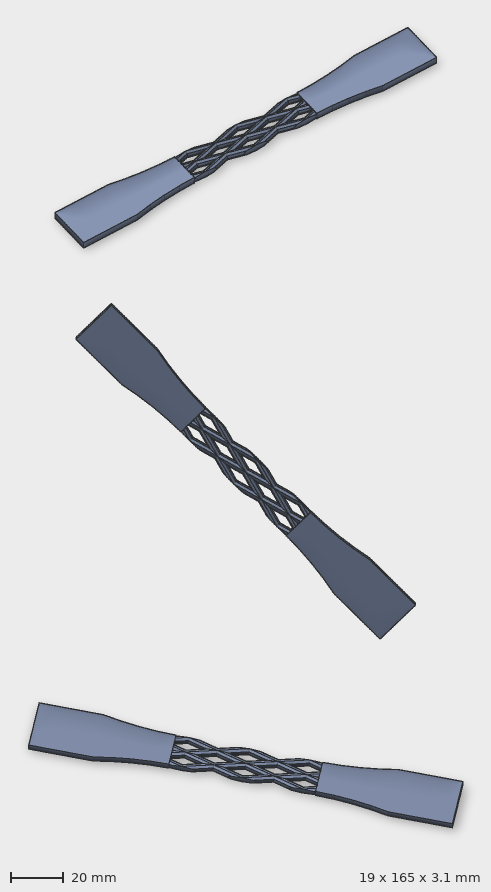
import cadquery as cq
import math

length = 165.0
grip_width = 19.0
thickness = 3.1

gauge_width = 13.0
gauge_length = 57.1
grip_start = 57.5
shoulder_facets = 4

cells_across = 2
node_pitch_x = gauge_width / cells_across
node_pitch_y = 23.6
strut_radius = thickness / 2
strut_sides = 8

gauge_end = gauge_length / 2
shoulder_run = grip_start - gauge_end
shoulder_rise = (grip_width - gauge_width) / 2
shoulder_radius = (shoulder_run**2 + shoulder_rise**2) / (2 * shoulder_rise)


def shoulder_points():
    """Corners of one shoulder, along an arc tangent to the gauge edge."""
    sweep = math.asin(shoulder_run / shoulder_radius)
    points = []
    for i in range(shoulder_facets + 1):
        angle = sweep * i / shoulder_facets
        x = gauge_width / 2 + shoulder_radius * (1 - math.cos(angle))
        y = gauge_end + shoulder_radius * math.sin(angle)
        points.append((x, y))
    return points


def grip():
    """Solid end at +Y: full-width grip narrowing to the gauge width."""
    right_side = shoulder_points() + [(grip_width / 2, length / 2)]
    left_side = [(-x, y) for x, y in reversed(right_side)]
    outline = cq.Workplane("XY").polyline(right_side + left_side).close()
    return outline.extrude(thickness / 2, both=True)


def strut(middle_x, lean):
    """Long polygonal bar crossing y = 0 at middle_x; lean is +1 or -1."""
    direction = cq.Vector(lean * node_pitch_x, node_pitch_y, 0)
    bar_length = 2 * gauge_length
    start = cq.Vector(middle_x, 0, 0) - direction.normalized() * (bar_length / 2)
    plane = cq.Plane(origin=start, xDir=cq.Vector(direction.y, -direction.x, 0), normal=direction)
    return cq.Workplane(plane).polygon(strut_sides, 2 * strut_radius).extrude(bar_length)


def lattice():
    """Two families of leaning struts, trimmed to the gauge section."""
    reach = cells_across + 1
    bars = None
    for i in range(-reach, reach + 1):
        for lean in (-1, 1):
            bar = strut(i * node_pitch_x, lean)
            bars = bar if bars is None else bars.union(bar)
    trim_box = cq.Workplane("XY").box(gauge_width, gauge_length, 2 * thickness)
    return bars.intersect(trim_box)


upper_grip = grip()
lower_grip = upper_grip.mirror("XZ")
result = upper_grip.union(lower_grip).union(lattice())